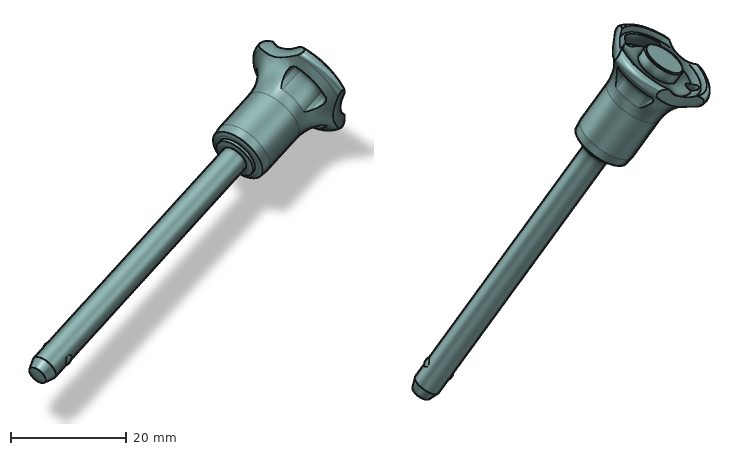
import cadquery as cq
import math

total_length = 78.5

button_radius = 3.9
button_chamfer = 0.2

rim_outer_radius = 10.2
rim_round = 1.2
rim_back_depth = 0.55
dish_edge_radius = 8.4
dish_edge_depth = 1.4
dish_floor_radius = 7.1
dish_floor_depth = 2.35
grip_radius = 5.6
flare_radius = 8.55
taper_start_depth = 18.6
grip_end_depth = 20.6
grip_end_radius = 5.3
grip_end_chamfer_length = 0.2
grip_end_chamfer_width = 0.7

collar_radius = 3.9
collar_end_depth = 21.2
pin_radius = 2.5
tip_radius = 1.8
tip_length = 2.0

ball_radius = 1.6
ball_reach = 2.75
ball_depth = 72.75

lobe_count = 3
lobe_spacing = 360.0 / lobe_count
scallop_half_angle = 32.0
scallop_sag = 0.4

opening_width = 2.3
opening_circle_radius = 7.0
slot_half_angle = 27.0
slot_angles = (60.0, -60.0)
lanyard_angle = 180.0


def polar(radius, angle):
    """Point at the given radius and angle in degrees."""
    return (radius * math.cos(math.radians(angle)), radius * math.sin(math.radians(angle)))


def rod(radius, start_depth, end_depth, x=0.0, z=0.0):
    """Cylinder parallel to the pin axis, between two depths."""
    return cq.Workplane(
        cq.Solid.makeCylinder(
            radius, end_depth - start_depth, cq.Vector(x, -start_depth, z), cq.Vector(0, -1, 0)
        )
    )


def make_handle():
    """Revolved rim, dish, flare and grip; the flare is tangent to both rim and grip."""
    rim_x = rim_outer_radius - rim_round
    rim_depth = rim_back_depth + rim_round
    flare_x = grip_radius + flare_radius
    flare_depth = rim_depth + math.sqrt(
        (flare_radius + rim_round) ** 2 - (flare_x - rim_x) ** 2
    )
    join_angle = math.degrees(math.atan2(flare_depth - rim_depth, flare_x - rim_x))
    join_x, join_drop = polar(rim_round, join_angle)
    mid_x, mid_rise = polar(flare_radius, 180.0 + join_angle / 2)
    profile = (
        cq.Workplane("XY")
        .moveTo(0, -dish_floor_depth)
        .lineTo(dish_floor_radius, -dish_floor_depth)
        .lineTo(dish_edge_radius, -dish_edge_depth)
        .lineTo(rim_x, -rim_back_depth)
        .threePointArc((rim_outer_radius, -rim_depth), (rim_x + join_x, -rim_depth - join_drop))
        .threePointArc((flare_x + mid_x, -flare_depth - mid_rise), (grip_radius, -flare_depth))
        .lineTo(grip_radius, -taper_start_depth)
        .lineTo(grip_end_radius, -grip_end_depth)
        .lineTo(0, -grip_end_depth)
        .close()
    )
    handle = profile.revolve(360, (0, 0, 0), (0, 1, 0))
    return handle.faces("<Y").chamfer(grip_end_chamfer_length, grip_end_chamfer_width)


def make_scallop(angle):
    """Large cylinder that hollows the rim between two lobes."""
    corner_x, half_chord = polar(rim_outer_radius, scallop_half_angle)
    radius = (half_chord ** 2 + scallop_sag ** 2) / (2 * scallop_sag)
    x, z = polar(corner_x - scallop_sag + radius, angle)
    return rod(radius, 0, grip_end_depth, x, z)


def make_round_hole(angle):
    """Round opening parallel to the pin axis."""
    x, z = polar(opening_circle_radius, angle)
    return rod(opening_width / 2, 0, grip_end_depth, x, z)


def make_slot(angle):
    """Curved slot around the pin axis with round ends."""
    inner = opening_circle_radius - opening_width / 2
    outer = opening_circle_radius + opening_width / 2
    first = angle - slot_half_angle
    last = angle + slot_half_angle
    sector = (
        cq.Workplane("XZ")
        .moveTo(*polar(inner, first))
        .lineTo(*polar(outer, first))
        .threePointArc(polar(outer, angle), polar(outer, last))
        .lineTo(*polar(inner, last))
        .threePointArc(polar(inner, angle), polar(inner, first))
        .close()
        .extrude(grip_end_depth)
    )
    return sector.union(make_round_hole(first)).union(make_round_hole(last))


def make_button():
    button = rod(button_radius, 0, grip_end_depth / 2)
    return button.faces(">Y").chamfer(button_chamfer)


def make_pin():
    """Pin with a tapered tip and two opposed locking balls."""
    pin = rod(pin_radius, grip_end_depth / 2, total_length)
    pin = pin.faces("<Y").chamfer(tip_length, pin_radius - tip_radius)
    for side in (-1, 1):
        ball_x = side * (ball_reach - ball_radius)
        ball = cq.Workplane("XY").sphere(ball_radius).translate((ball_x, -ball_depth, 0))
        pin = pin.union(ball)
    return pin


handle = make_handle()
for index in range(lobe_count):
    handle = handle.cut(make_scallop(index * lobe_spacing))
for slot_angle in slot_angles:
    handle = handle.cut(make_slot(slot_angle))
handle = handle.cut(make_round_hole(lanyard_angle))

collar = rod(collar_radius, grip_end_depth / 2, collar_end_depth)
result = handle.union(make_button()).union(collar).union(make_pin())